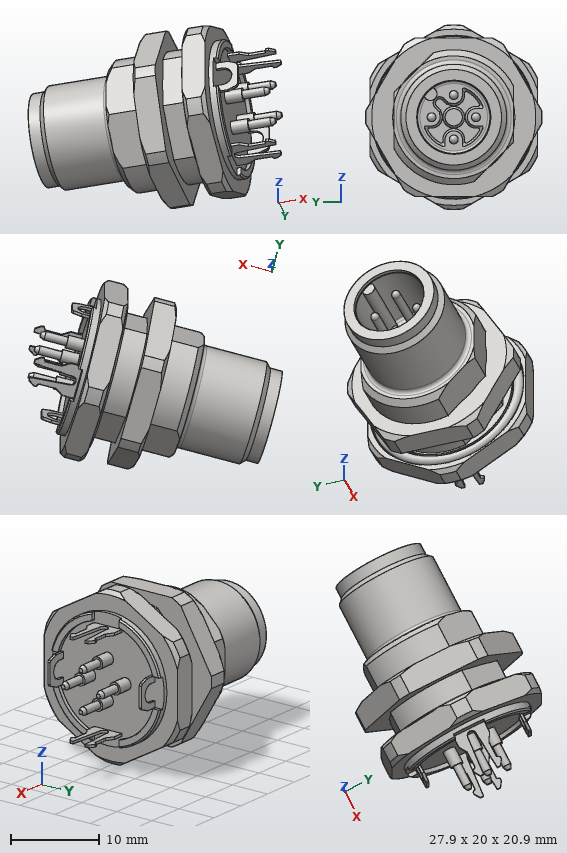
import cadquery as cq
import math


nose_radius = 5.4
nose_end = 1.4
shell_radius = 6.0
shell_fillet = 0.5
mouth_radius = 8.4 / 2
mouth_depth = 0.42
socket_radius = 4.1
socket_depth = 8.37
socket_floor_fillet = 0.28

thread_start = 9.55
thread_radius = 7.65
thread_chamfer = 0.7
flat_distance = 6.78
flat_pair_angles = (0, 45)

hex_start = 19.28
hex_end = 21.99
hex_across_flats = 19.0
hex_corner_radius = 20.9 / 2
hex_chamfer = 0.47

ring_radius = 17.15 / 2
ring_section_radius = 0.59
ring_projection = 0.28
ring_groove_width = 1.42

collar_radius = 16.0 / 2
collar_end = 23.0
collar_chamfer = 0.2
insert_face = 22.5
collar_bore_radius = 7.03
collar_notch_width = 3.85

contact_circle_radius = 2.5
contact_count = 4
contact_tip = 1.9
contact_radius = 0.5
sleeve_radius = 0.75
sleeve_end = 24.5
tail_radius = 0.5
tail_end = 27.6
tail_tip_length = 0.5
tail_tip_radius = 0.265

key_start = 0.47
key_radius = 0.75
key_direction = 45
key_offset = 2.65

recess_depth = 0.5
recess_slope_width = 0.25
recess_radius = 3.52
recess_corner_radius = 0.22
recess_core_radius = 1.67
island_radius = 0.98
finger_radius = 0.73
finger_end = 2.25

clip_thickness = 0.33
clip_half_width = 1.95
fork_clip_distance = 6.08
loop_clip_distance = 6.33

nut_start = 13.48
nut_end = 16.27
nut_across_flats = 18.0
nut_corner_radius = 10.0
nut_face_radius = 9.3
nut_chamfer_length = 0.42
nut_bore_radius = 6.92


def turned(points):
    """Solid of revolution about X from (x, radius) corner points."""
    return cq.Workplane("XY").polyline(points).close().revolve(360, (0, 0, 0), (1, 0, 0))


def rod(start, end, radius, y=0.0, z=0.0):
    """Cylinder along X."""
    return cq.Workplane("YZ", origin=(start, y, z)).circle(radius).extrude(end - start)


def hexagon(start, end, across_flats, turn):
    """Hexagonal prism along X; with turn = 0 its corners point along Y."""
    corner_diameter = across_flats / math.cos(math.pi / 6)
    prism = cq.Workplane("YZ", origin=(start, 0, 0)).polygon(6, corner_diameter).extrude(end - start)
    return prism.rotate((0, 0, 0), (1, 0, 0), turn)


def plug_shell():
    fillet_start = thread_start - shell_fillet
    fillet_mid = shell_fillet * (1 - math.sqrt(0.5))
    return (
        cq.Workplane("XY")
        .moveTo(0, 0)
        .lineTo(0, nose_radius)
        .lineTo(nose_end, nose_radius)
        .lineTo(nose_end + shell_radius - nose_radius, shell_radius)
        .lineTo(fillet_start, shell_radius)
        .threePointArc(
            (thread_start - fillet_mid, shell_radius + fillet_mid),
            (thread_start, shell_radius + shell_fillet),
        )
        .lineTo(thread_start, 0)
        .close()
        .revolve(360, (0, 0, 0), (1, 0, 0))
    )


def threaded_section():
    section = turned([
        (thread_start, 0),
        (thread_start, thread_radius - thread_chamfer),
        (thread_start + thread_chamfer, thread_radius),
        (hex_start, thread_radius),
        (hex_start, 0),
    ])
    length = hex_start - thread_start
    for angle in flat_pair_angles:
        slab = cq.Workplane("YZ", origin=(thread_start, 0, 0)).rect(2 * flat_distance, 4 * flat_distance)
        slab = slab.extrude(length).rotate((0, 0, 0), (1, 0, 0), angle)
        section = section.intersect(slab)
    return section


def rear_hexagon():
    blank = turned([
        (hex_start, 0),
        (hex_start, hex_corner_radius - hex_chamfer),
        (hex_start + hex_chamfer, hex_corner_radius),
        (hex_end - hex_chamfer, hex_corner_radius),
        (hex_end, hex_corner_radius - hex_chamfer),
        (hex_end, 0),
    ])
    return blank.intersect(hexagon(hex_start, hex_end, hex_across_flats, 30))


def ring_groove():
    depth = ring_section_radius - ring_projection
    outer = rod(hex_start, hex_start + depth, ring_radius + ring_groove_width / 2)
    inner = rod(hex_start, hex_start + depth, ring_radius - ring_groove_width / 2)
    return outer.cut(inner)


def sealing_ring():
    centre_x = hex_start - ring_projection + ring_section_radius
    section = cq.Workplane("XY").center(centre_x, ring_radius).circle(ring_section_radius)
    return section.revolve(360, (-centre_x, -ring_radius, 0), (0.28 - centre_x, -ring_radius, 0))


def rear_collar():
    collar = rod(hex_end, collar_end, collar_radius).faces(">X").edges().chamfer(collar_chamfer)
    lip_height = collar_end - insert_face
    collar = collar.cut(rod(insert_face, collar_end, collar_bore_radius))
    for width, height in (
        (collar_notch_width, 2 * collar_radius),
        (2 * collar_radius, collar_notch_width),
    ):
        notch = cq.Workplane("YZ", origin=(insert_face, 0, 0)).rect(width, height).extrude(lip_height)
        collar = collar.cut(notch)
    return collar


def socket():
    """Bore for the mating plug: a shallow wider mouth and a rounded floor edge."""
    bore = rod(0, socket_depth, socket_radius).faces(">X").edges().fillet(socket_floor_fillet)
    return bore.union(rod(0, mouth_depth, mouth_radius))


def contact_centres():
    for i in range(contact_count):
        angle = 2 * math.pi * i / contact_count
        yield contact_circle_radius * math.cos(angle), contact_circle_radius * math.sin(angle)


def floor_recess():
    """Recess with sloping walls; islands round the axis and the contacts stay at floor level."""
    slope = math.degrees(math.atan(recess_slope_width / recess_depth))
    floor = cq.Workplane("YZ", origin=(socket_depth, 0, 0))

    recess = floor.circle(recess_radius).extrude(recess_depth, taper=slope)
    key_quarter = floor.rect(recess_radius, recess_radius, centered=False).extrude(recess_depth)
    recess = recess.cut(key_quarter)
    recess = recess.union(floor.circle(recess_core_radius).extrude(recess_depth))
    finger = (
        floor.transformed(rotate=(0, 0, key_direction))
        .slot2D(2 * (finger_end + finger_radius), 2 * finger_radius)
        .extrude(recess_depth, taper=slope)
    )
    recess = recess.union(finger)

    recess = recess.cut(floor.circle(island_radius).extrude(recess_depth, taper=-slope))
    for i in range(contact_count):
        island = (
            floor.moveTo(2 * contact_circle_radius, island_radius)
            .lineTo(contact_circle_radius, island_radius)
            .threePointArc(
                (contact_circle_radius - island_radius, 0),
                (contact_circle_radius, -island_radius),
            )
            .lineTo(2 * contact_circle_radius, -island_radius)
            .close()
            .extrude(recess_depth, taper=-slope)
            .rotate((0, 0, 0), (1, 0, 0), i * 360 / contact_count)
        )
        recess = recess.cut(island)

    outer_zone = recess_radius - 2 * recess_slope_width
    corners = []
    for edge in recess.edges().vals():
        middle = edge.Center()
        spans_depth = abs(edge.startPoint().x - edge.endPoint().x) > recess_depth / 2
        if spans_depth and math.hypot(middle.y, middle.z) > outer_zone:
            corners.append(edge)
    return recess.newObject(corners).fillet(recess_corner_radius)


def contact(y, z):
    """Round-nosed pin in the socket, and its sleeved tail behind the insert, as a pair."""
    pin = rod(contact_tip + contact_radius, socket_depth + recess_depth, contact_radius, y, z)
    nose = cq.Workplane("XY", origin=(contact_tip + contact_radius, y, z)).sphere(contact_radius)
    sleeve = rod(insert_face, sleeve_end, sleeve_radius, y, z)
    tail = turned([
        (sleeve_end, 0),
        (sleeve_end, tail_radius),
        (tail_end - tail_tip_length, tail_radius),
        (tail_end, tail_tip_radius),
        (tail_end, 0),
    ]).translate((0, y, z))
    return pin.union(nose), sleeve.union(tail)


def fork_clip():
    """Clip with two barbed prongs, above the axis."""
    prong_side = 1.37
    prong_start = 24.8
    barb_start = 26.75
    barb_side = 1.73
    barb_front = 26.92
    barb_back = 27.23
    clip_end = 27.9
    tip_outer = 1.28
    tip_inner = 0.86
    shoulder = 23.85
    slot_radius = 0.53
    slot_centre = 23.3
    edge = [
        (insert_face, clip_half_width),
        (shoulder, clip_half_width),
        (prong_start, prong_side),
        (barb_start, prong_side),
        (barb_front, barb_side),
        (barb_back, barb_side),
        (clip_end, tip_outer),
        (clip_end, tip_inner),
        (slot_centre, slot_radius),
    ]
    mirrored = [(x, -y) for x, y in reversed(edge)]
    return (
        cq.Workplane("XY", origin=(0, 0, fork_clip_distance))
        .polyline(edge)
        .threePointArc((slot_centre - slot_radius, 0), mirrored[0])
        .polyline(mirrored[1:], includeCurrent=True)
        .close()
        .extrude(clip_thickness)
    )


def loop_clip():
    """Short clip with a round-ended window, above the axis."""
    shoulder = 23.85
    corner_start = 24.83
    corner_side = 1.55
    clip_end = 25.0
    end_side = 1.3
    window_radius = 1.15
    window_centre = 23.18
    edge = [
        (insert_face, window_radius),
        (insert_face, clip_half_width),
        (shoulder, clip_half_width),
        (corner_start, corner_side),
        (clip_end, end_side),
    ]
    mirrored = [(x, -y) for x, y in reversed(edge)]
    return (
        cq.Workplane("XY", origin=(0, 0, loop_clip_distance))
        .polyline(edge + mirrored)
        .lineTo(window_centre, -window_radius)
        .threePointArc((window_centre + window_radius, 0), (window_centre, window_radius))
        .close()
        .extrude(clip_thickness)
    )


def connector():
    body = plug_shell().union(threaded_section())
    body = body.union(rear_hexagon().cut(ring_groove()).union(sealing_ring()))
    body = body.union(rear_collar())
    body = body.cut(socket()).cut(floor_recess())
    body = body.union(rod(key_start, socket_depth, key_radius, key_offset, key_offset))
    for y, z in contact_centres():
        pin, tail = contact(y, z)
        body = body.union(pin).union(tail)
    for turn in (0, 180):
        body = body.union(fork_clip().rotate((0, 0, 0), (1, 0, 0), turn))
        body = body.union(loop_clip().rotate((0, 0, 0), (1, 0, 0), turn + 90))
    return body


def nut():
    """Hexagon nut; its bore takes the shape of the threaded section where that is larger."""
    blank = turned([
        (nut_start, 0),
        (nut_start, nut_face_radius),
        (nut_start + nut_chamfer_length, nut_corner_radius),
        (nut_end, nut_corner_radius),
        (nut_end, 0),
    ])
    blank = blank.intersect(hexagon(nut_start, nut_end, nut_across_flats, 0))
    return blank.cut(rod(nut_start, nut_end, nut_bore_radius)).cut(threaded_section())


connector_body = connector()
nut_body = nut()
result = cq.Compound.makeCompound([connector_body.solids().val(), nut_body.solids().val()])